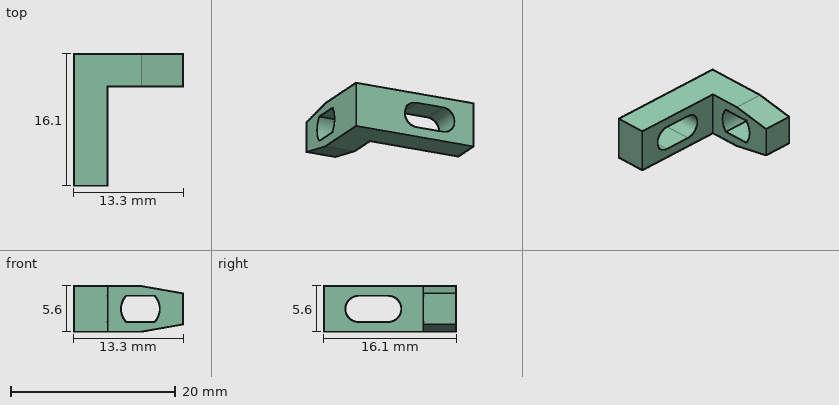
import cadquery as cq
import math

length_x = 13.3
length_y = 16.1
height = 5.6

long_arm_width = 4.1
short_arm_width = 4.0
taper_start_x = 8.2
taper_angle = 10.0
tip_drop = (length_x - taper_start_x) * math.tan(math.radians(taper_angle))

opening_height = 3.15
slot_length = 6.8
slot_center_y = length_y - 10.08
hole_diameter = 4.7
hole_center_x = 8.1


def make_long_arm():
    return cq.Workplane("XY").box(long_arm_width, length_y, height, centered=(False, False, True))


def make_short_arm():
    """Bar along X at the +Y end, tapering symmetrically towards its tip."""
    half_height = height / 2
    tip_half_height = half_height - tip_drop
    outline = [
        (0, -half_height),
        (taper_start_x, -half_height),
        (length_x, -tip_half_height),
        (length_x, tip_half_height),
        (taper_start_x, half_height),
        (0, half_height),
    ]
    return (
        cq.Workplane("XZ", origin=(0, length_y, 0))
        .polyline(outline)
        .close()
        .extrude(short_arm_width)
    )


def make_slot_cutter():
    """Round-ended slot through the long arm along X."""
    return (
        cq.Workplane("YZ")
        .center(slot_center_y, 0)
        .slot2D(slot_length, opening_height)
        .extrude(long_arm_width)
    )


def make_flatted_hole_cutter():
    """Circular hole with flats above and below, through the short arm along Y."""
    plane = cq.Workplane("XZ", origin=(hole_center_x, length_y, 0))
    cylinder = plane.circle(hole_diameter / 2).extrude(short_arm_width)
    flats = plane.rect(hole_diameter, opening_height).extrude(short_arm_width)
    return cylinder.intersect(flats)


bracket = make_long_arm().union(make_short_arm())
result = bracket.cut(make_slot_cutter()).cut(make_flatted_hole_cutter())